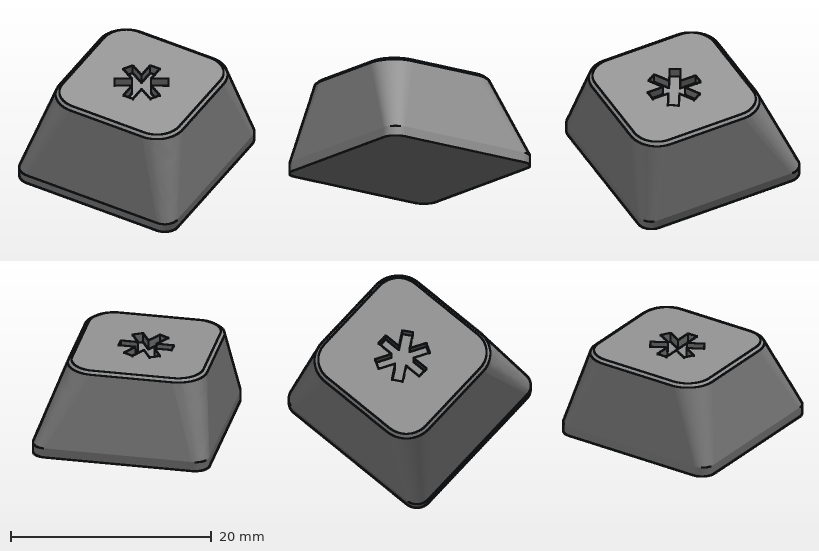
import cadquery as cq

base_size = 18.0
base_corner_radius = 1.5
skirt_height = 1.0

total_height = 9.0
crown_size = 14.0
crown_corner_radius = 3.0
crown_shift_y = 1.0

bevel_height = 0.29
bevel_inset = 0.38

star_bar_count = 3
star_bar_width = 1.1
star_bar_length = 5.4
star_depth = 1.0

rim_z = total_height - bevel_height
rim_fraction = (rim_z - skirt_height) / (total_height - skirt_height)
rim_size = base_size + rim_fraction * (crown_size - base_size)
rim_corner_radius = base_corner_radius + rim_fraction * (crown_corner_radius - base_corner_radius)
rim_shift_y = rim_fraction * crown_shift_y

top_size = rim_size - 2 * bevel_inset
top_corner_radius = rim_corner_radius - bevel_inset


def rounded_square(size, corner_radius, shift_y, z):
    outline = cq.Sketch().rect(size, size).vertices().fillet(corner_radius)
    return outline.moved(cq.Location(cq.Vector(0, shift_y, z)))


def make_layer(lower_outline, upper_outline):
    """Body with straight-ruled sides between two rounded squares."""
    return cq.Workplane("XY").placeSketch(lower_outline, upper_outline).loft(ruled=True)


def make_cap():
    """Skirt, tapered walls and top bevel, stacked on shared outlines."""
    bottom = rounded_square(base_size, base_corner_radius, 0, 0)
    skirt_top = rounded_square(base_size, base_corner_radius, 0, skirt_height)
    rim = rounded_square(rim_size, rim_corner_radius, rim_shift_y, rim_z)
    top = rounded_square(top_size, top_corner_radius, rim_shift_y, total_height)
    skirt = make_layer(bottom, skirt_top)
    walls = make_layer(skirt_top, rim)
    bevel = make_layer(rim, top)
    return skirt.union(walls).union(bevel)


def cut_star(cap):
    """Sink equal bars crossing at the centre of the top face."""
    floor_z = total_height - star_depth
    bar_angle_step = 180.0 / star_bar_count
    for index in range(star_bar_count):
        bar = (
            cq.Workplane("XY", origin=(0, rim_shift_y, floor_z))
            .transformed(rotate=(0, 0, index * bar_angle_step))
            .rect(star_bar_width, star_bar_length)
            .extrude(star_depth)
        )
        cap = cap.cut(bar)
    return cap


result = cut_star(make_cap())